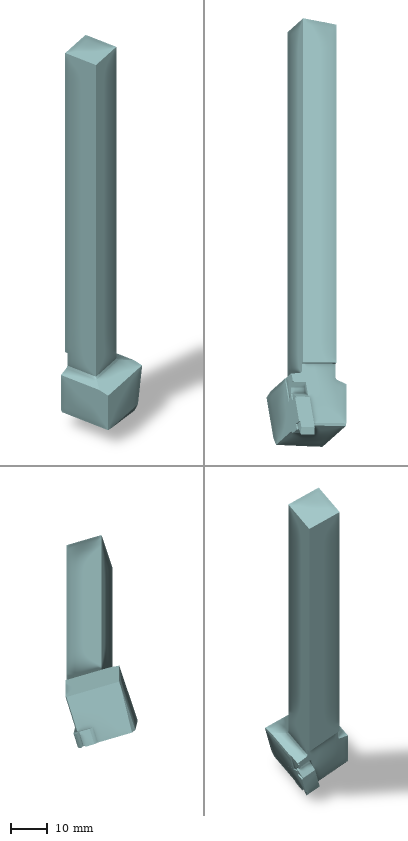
import cadquery as cq
import math

total_length = 124.2
shank_size = 10.1
shank_front_y = 3.2
shank_root_z = 14.9

head_width = 16.2
head_back_y = 16.8
head_left_x = 0.7
head_bottom_z = 5.1
roof_flat_z = 18.3
roof_slope = 15.0
collar_size = 0.5
left_relief_top_z = 23.0
bottom_edge_drop = 0.7
bottom_edge_inset = 0.4
corner_width = 1.0
corner_top_z = 4.8
corner_bottom_z = 2.2
back_recess_width = 4.0
back_recess_depth = 0.4
lip_left_x = 0.4
lip_width = 0.4
lip_bottom = 13.5
lip_top = 17.4

tilt = 10.0
seat_origin_y = 13.9
insert_thickness = 4.5
chip_recess_depth = 0.4
chip_recess_width = 2.0
chip_recess_low = 3.5
chip_recess_high = 10.4
beyond = 24.8

tip = (1.0, 0.0)
tip_left = (0.0, 1.7)
tip_right = (1.6, 1.9)
lower_edge_end = (4.6, 1.9)
inner_corner = (10.0, 6.2)
upper_corner = (1.9, 12.4)
upper_left = (0.0, 10.7)
insert_outline = [tip, tip_right, lower_edge_end, inner_corner, upper_corner, upper_left, tip_left]

roof_inner = (2.5, 12.7)
roof_bend = (2.0, 14.2)
roof_outer = (head_left_x, 15.3)

slope_ratio = math.tan(math.radians(roof_slope))
tilt_ratio = math.tan(math.radians(tilt))
seat_y = math.cos(math.radians(tilt))
seat_z = math.sin(math.radians(tilt))
seat_plane = cq.Plane(
    origin=(0, seat_origin_y, -chip_recess_depth * seat_z), xDir=(1, 0, 0), normal=(0, -seat_y, seat_z)
)


def block(x_range, y_range, z_range):
    """Box between the given limits."""
    (x0, x1), (y0, y1), (z0, z1) = x_range, y_range, z_range
    return cq.Workplane("XY").box(x1 - x0, y1 - y0, z1 - z0, centered=False).translate((x0, y0, z0))


def along_x(points, x0, x1):
    """Prism along X over a (y, z) outline."""
    return cq.Workplane("YZ", origin=(x0, 0, 0)).polyline(points).close().extrude(x1 - x0)


def seat_prism(points, depth):
    """Prism from the tilted back face into the head over an (x, height) outline."""
    return cq.Workplane(seat_plane).polyline(points).close().extrude(depth)


def back_y(z):
    """Position of the tilted back face at a height."""
    return seat_origin_y + tilt_ratio * z


def make_shank():
    shank_y = (shank_front_y, shank_front_y + shank_size)
    return block((0, shank_size), shank_y, (shank_root_z, total_length))


def make_roof_limit():
    """Solid under the three roof slopes, which start at the foot of the collar."""
    right = shank_size + collar_size
    front = shank_front_y - collar_size
    back = shank_front_y + shank_size + collar_size
    x_drop = slope_ratio * beyond
    side = (
        cq.Workplane("XZ", origin=(0, beyond, 0))
        .polyline([
            (0, 0), (right + beyond, 0), (right + beyond, roof_flat_z - x_drop),
            (right, roof_flat_z), (0, roof_flat_z),
        ])
        .close()
        .extrude(2 * beyond)
    )
    gable = along_x([
        (front - beyond, 0), (back + beyond, 0), (back + beyond, roof_flat_z - x_drop),
        (back, roof_flat_z), (front, roof_flat_z), (front - beyond, roof_flat_z - x_drop),
    ], 0, beyond)
    return side.intersect(gable)


def make_head():
    bottom_back_z = (head_bottom_z - tilt_ratio * seat_origin_y) / (1 + tilt_ratio**2)
    back_top_z = (head_back_y - seat_origin_y) / tilt_ratio
    head = along_x([
        (0, head_bottom_z), (back_y(bottom_back_z), bottom_back_z),
        (head_back_y, back_top_z), (head_back_y, roof_flat_z), (0, roof_flat_z),
    ], 0, head_width)
    return head.intersect(make_roof_limit())


def make_collar():
    """Collar that slopes from the shank out to the roof on three sides."""
    foot_x = shank_size + collar_size
    foot_y = shank_size + 2 * collar_size
    base = block(
        (0, foot_x),
        (shank_front_y - collar_size, shank_front_y - collar_size + foot_y),
        (roof_flat_z - 2 * collar_size, roof_flat_z + collar_size),
    )
    top_edges = base.faces(">Z").edges("|X or >X")
    return top_edges.chamfer(collar_size)


def make_left_relief():
    """Cut that sets the left face in, ending in a tilted step on the shank."""
    step_top = left_relief_top_z + tilt_ratio * shank_front_y
    return along_x([
        (-beyond, -beyond), (beyond, -beyond),
        (beyond, step_top - tilt_ratio * beyond), (-beyond, step_top + tilt_ratio * beyond),
    ], -1.2, head_left_x)


def make_bottom_edge_cut():
    """Bevel along the tilted left bottom edge."""
    edge_height = head_bottom_z * math.cos(math.radians(tilt)) - seat_origin_y * seat_z
    return seat_prism([
        (head_left_x, edge_height), (head_left_x + bottom_edge_inset, edge_height),
        (head_left_x, edge_height + bottom_edge_drop),
    ], beyond)


def make_right_corner_cut():
    outline = [
        (head_width, corner_top_z), (head_width - corner_width, corner_bottom_z),
        (head_width, corner_bottom_z),
    ]
    return cq.Workplane("XZ", origin=(0, beyond, 0)).polyline(outline).close().extrude(beyond)


def make_back_recess():
    recess = [(0, 0), (back_recess_width, 0), (back_recess_width, beyond), (0, beyond)]
    return seat_prism(recess, back_recess_depth)


def make_insert():
    """Plate with a pointed cutting tip and a shallow chip recess at each left corner."""
    insert = make_insert_seat()
    for bottom, top in [(tip[1], chip_recess_low), (chip_recess_high, upper_corner[1])]:
        recess = [(0, bottom), (chip_recess_width, bottom), (chip_recess_width, top), (0, top)]
        insert = insert.cut(seat_prism(recess, chip_recess_depth))
    return insert


def make_lip():
    """Thin lip standing out from the left face along the back of the head."""
    outline = [
        (lip_left_x, lip_bottom), (head_left_x, lip_bottom),
        (head_left_x, lip_top), (lip_left_x, lip_top),
    ]
    depth = back_recess_depth + lip_width
    lip = seat_prism(outline, depth).cut(seat_prism(outline, back_recess_depth))
    return lip.intersect(make_roof_limit())


def make_clearance():
    """Open space between the insert and the head above it."""
    outline = [upper_left, upper_corner, roof_inner, roof_bend, roof_outer, (0, roof_outer[1])]
    return seat_prism(outline, insert_thickness)


def make_insert_seat():
    """Full insert outline, so that the head stays clear of its chip recesses."""
    return seat_prism(insert_outline, insert_thickness)


def make_holder():
    holder = make_shank().union(make_head()).union(make_collar())
    holder = holder.cut(make_left_relief()).union(make_lip())
    holder = holder.cut(make_bottom_edge_cut()).cut(make_right_corner_cut())
    return holder.cut(make_back_recess()).cut(make_clearance()).cut(make_insert_seat())


holder = make_holder()
insert = make_insert()

result = cq.Compound.makeCompound([holder.val(), insert.val()])